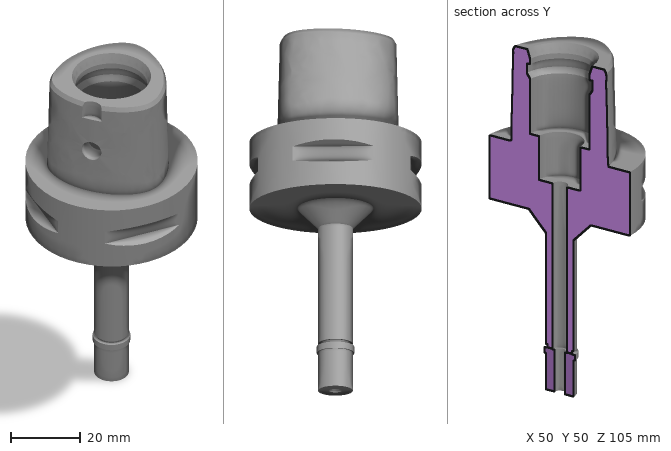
import cadquery as cq
import math

TOTAL_HEIGHT = 105.0
TAPER_LENGTH = 30.0
FLANGE_HEIGHT = 20.0
CONE_HEIGHT = 6.0
TIP_HEIGHT = 13.2
COLLAR_HEIGHT = 1.9
GROOVE_WIDTH = 0.9
FLANGE_TOP = TOTAL_HEIGHT - TAPER_LENGTH
FLANGE_BOTTOM = FLANGE_TOP - FLANGE_HEIGHT
SHANK_TOP = FLANGE_BOTTOM - CONE_HEIGHT

FLANGE_RADIUS = 25.0
SHANK_RADIUS = 5.0
CONE_RADIUS = SHANK_RADIUS + CONE_HEIGHT
GROOVE_RADIUS = 4.4
COLLAR_RADIUS = 5.5

POLYGON_RADIUS = 17.6
LOBE_HEIGHT = 1.2
OUTLINE_POINTS = 24
TAPER_SLOPE = 1 / 40
RIM_CHAMFER_HEIGHT = 1.3
RIM_CHAMFER_WIDTH = 0.7

BORE_RADIUS = 10.4
BORE_DEPTH = 26.2
MOUTH_RADIUS = 11.4
MOUTH_DEPTH = 2.9
UNDERCUT_RADIUS = 11.5
UNDERCUT_START = 4.6
UNDERCUT_END = 7.6
LEAD_IN_HEIGHT = 1.7
INNER_BORE_RADIUS = 7.2
INNER_BORE_DEPTH = 39.9
COOLANT_RADIUS = 2.5
TIP_HOLE_RADIUS = 1.8

NOTCH_RADIUS = 3.5
NOTCH_CENTRE_Y = -17.3
NOTCH_DEPTH = 5.0
SIDE_HOLE_RADIUS = 3.0
SIDE_HOLE_Z = TOTAL_HEIGHT - 16.0
SIDE_HOLE_FLOOR_Y = -10.8

POCKET_COUNT = 4
FIRST_POCKET_ANGLE = 45
POCKET_Z = FLANGE_TOP - 9.8
POCKET_FLOOR_DISTANCE = 22.0
POCKET_FLOOR_HEIGHT = 4.2
POCKET_MOUTH_HEIGHT = 6.7


def polygon_outline(mean_radius, z):
    """Closed constant-width trilobe at height z."""

    def point(turn):
        angle = 2 * math.pi * turn
        support = mean_radius - LOBE_HEIGHT * math.sin(3 * angle)
        slope = -3 * LOBE_HEIGHT * math.cos(3 * angle)
        return (
            support * math.cos(angle) - slope * math.sin(angle),
            support * math.sin(angle) + slope * math.cos(angle),
            z,
        )

    points = [cq.Vector(*point(i / OUTLINE_POINTS)) for i in range(OUTLINE_POINTS)]
    return cq.Wire.assembleEdges([cq.Edge.makeSpline(points, periodic=True)])


def polygon_taper():
    shoulder_z = TOTAL_HEIGHT - RIM_CHAMFER_HEIGHT
    shoulder_radius = POLYGON_RADIUS - TAPER_SLOPE * (shoulder_z - FLANGE_TOP)
    base = polygon_outline(POLYGON_RADIUS, FLANGE_TOP)
    shoulder = polygon_outline(shoulder_radius, shoulder_z)
    rim = polygon_outline(shoulder_radius - RIM_CHAMFER_WIDTH, TOTAL_HEIGHT)
    taper = cq.Workplane(cq.Solid.makeLoft([base, shoulder], True))
    return taper.union(cq.Workplane(cq.Solid.makeLoft([shoulder, rim], True)))


def revolved(profile):
    """Solid of revolution about Z from (radius, z) points."""
    return cq.Workplane("XZ").polyline(profile).close().revolve(360, (0, 0), (0, 1))


def flange_and_shank():
    return revolved([
        (0, FLANGE_TOP),
        (FLANGE_RADIUS, FLANGE_TOP),
        (FLANGE_RADIUS, FLANGE_BOTTOM),
        (CONE_RADIUS, FLANGE_BOTTOM),
        (SHANK_RADIUS, SHANK_TOP),
        (SHANK_RADIUS, TIP_HEIGHT + GROOVE_WIDTH),
        (GROOVE_RADIUS, TIP_HEIGHT + GROOVE_WIDTH),
        (GROOVE_RADIUS, TIP_HEIGHT),
        (0, TIP_HEIGHT),
    ])


def bore():
    """Stepped bore with a tapered mouth, an undercut and a coolant passage."""
    return revolved([
        (0, TOTAL_HEIGHT),
        (MOUTH_RADIUS, TOTAL_HEIGHT),
        (BORE_RADIUS, TOTAL_HEIGHT - MOUTH_DEPTH),
        (BORE_RADIUS, TOTAL_HEIGHT - UNDERCUT_START),
        (UNDERCUT_RADIUS, TOTAL_HEIGHT - UNDERCUT_START),
        (UNDERCUT_RADIUS, TOTAL_HEIGHT - UNDERCUT_END),
        (BORE_RADIUS, TOTAL_HEIGHT - UNDERCUT_END - LEAD_IN_HEIGHT),
        (BORE_RADIUS, TOTAL_HEIGHT - BORE_DEPTH),
        (INNER_BORE_RADIUS, TOTAL_HEIGHT - BORE_DEPTH),
        (INNER_BORE_RADIUS, TOTAL_HEIGHT - INNER_BORE_DEPTH),
        (COOLANT_RADIUS, TOTAL_HEIGHT - INNER_BORE_DEPTH),
        (COOLANT_RADIUS, TIP_HEIGHT),
        (0, TIP_HEIGHT),
    ])


def key_notch():
    floor = cq.Workplane("XY", origin=(0, NOTCH_CENTRE_Y, TOTAL_HEIGHT - NOTCH_DEPTH))
    return floor.circle(NOTCH_RADIUS).extrude(NOTCH_DEPTH)


def side_hole():
    floor = cq.Workplane("XZ", origin=(0, SIDE_HOLE_FLOOR_Y, SIDE_HOLE_Z))
    return floor.circle(SIDE_HOLE_RADIUS).extrude(FLANGE_RADIUS + SIDE_HOLE_FLOOR_Y)


def gripper_pocket(angle):
    """Flat-floored pocket with flaring upper and lower sides."""
    half_floor = POCKET_FLOOR_HEIGHT / 2
    half_mouth = POCKET_MOUTH_HEIGHT / 2
    profile = [
        (POCKET_FLOOR_DISTANCE, POCKET_Z - half_floor),
        (FLANGE_RADIUS, POCKET_Z - half_mouth),
        (FLANGE_RADIUS, POCKET_Z + half_mouth),
        (POCKET_FLOOR_DISTANCE, POCKET_Z + half_floor),
    ]
    pocket = cq.Workplane("XZ").polyline(profile).close().extrude(FLANGE_RADIUS, both=True)
    return pocket.rotate((0, 0, 0), (0, 0, 1), angle)


def make_holder():
    body = flange_and_shank().union(polygon_taper())
    body = body.cut(bore()).cut(key_notch()).cut(side_hole())
    for i in range(POCKET_COUNT):
        body = body.cut(gripper_pocket(FIRST_POCKET_ANGLE + i * 360 / POCKET_COUNT))
    return body


def make_tip():
    collar_bottom = TIP_HEIGHT - COLLAR_HEIGHT
    return revolved([
        (TIP_HOLE_RADIUS, 0),
        (SHANK_RADIUS, 0),
        (SHANK_RADIUS, collar_bottom),
        (COLLAR_RADIUS, collar_bottom),
        (COLLAR_RADIUS, TIP_HEIGHT),
        (TIP_HOLE_RADIUS, TIP_HEIGHT),
    ])


holder = make_holder()
tip = make_tip()
result = cq.Compound.makeCompound([holder.val(), tip.val()])